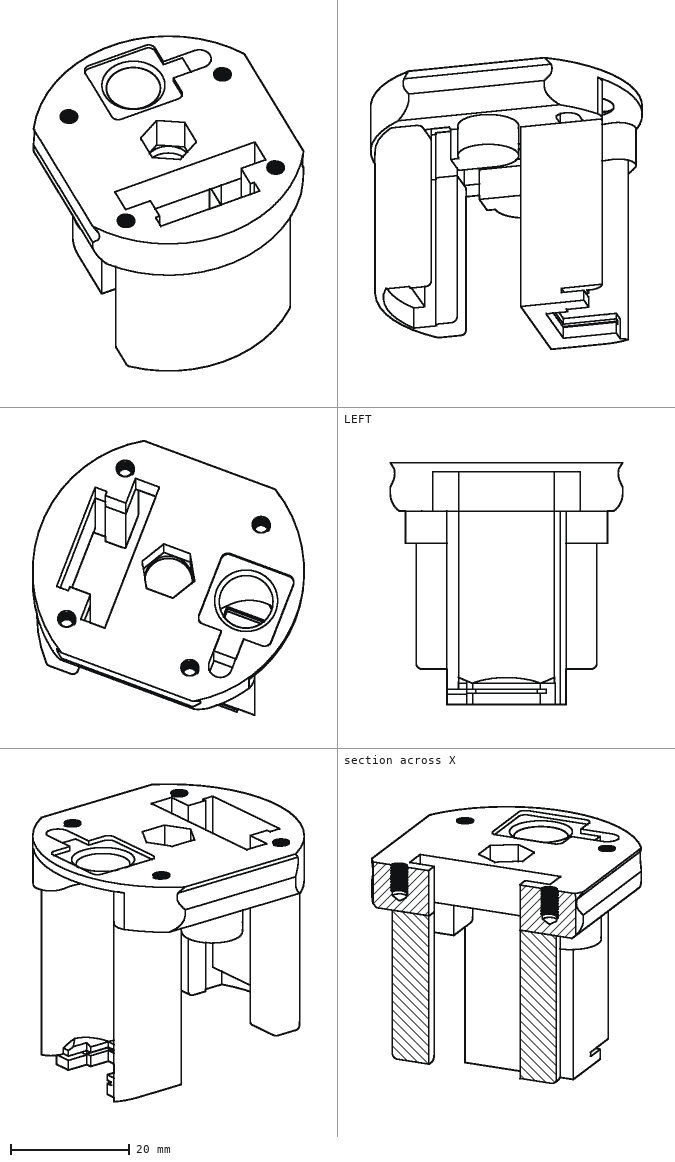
import cadquery as cq
import math

PLATE_R = 23.0
PLATE_T = 8.25
FLAT_Y = 19.7
GRIP_TOP = (19.05, -1.05)
GRIP_DEEP = (18.95, -2.0)
GRIP_LOW = (19.2, -3.1)
BAND_TOP_Z = -4.2
BAND_LOW_Z = -5.25
PLATE_FOOT_Y = 18.12
LOWER_EDGE_R = 3.65

HEX_FLATS = 8.25
HEX_DEPTH = 6.45
NUT_HOLE_D = 8.1

LIP_T = 1.55
BAY_X = -14.4
BAY_R = 8.33
EAR_R = 3.0
EAR_X = -16.65
EAR_Y = math.sqrt((BAY_R + EAR_R) ** 2 - (BAY_X - EAR_X) ** 2)
MOUTH_Y = 12.45

RECESS_X = -14.08
RECESS_W = 13.05
RECESS_DEPTH = 0.8
RECESS_CORNER_R = 1.25
CONTACT_HOLE_D = 9.1
WIRE_SLOT_W = 4.0
WIRE_SLOT_END_Y = 14.3

SWITCH_X0 = 6.6
SWITCH_X1 = 10.9
SWITCH_X2 = 14.65
SWITCH_X3 = 16.75
SWITCH_WIDE_Y = 13.05
SWITCH_NECK_Y = 8.45
SWITCH_BACK_Y = 9.2

SCREW_POINTS = [(-9.4, 14.55), (13.1, 14.0), (13.1, -13.95), (-11.85, -12.95)]
THREAD_MINOR_D = 2.55
THREAD_MAJOR_D = 3.1
THREAD_PITCH = 0.5
THREAD_MOUTH = 0.25
THREAD_ROOT = 0.05
THREAD_OVERLAP = 0.05
SCREW_DEPTH = 5.5
DRILL_TIP_ANGLE = 118

BOSS_R = 5.15
BOSS_Y = 11.95
BOSS_T = 5.45

HOUSING_X = SWITCH_X1
HOUSING_R = 22.25
HOUSING_Y = 15.3
HOUSING_LOW_Z = -34.95
HOUSING_EDGE_R = 1.0
HOUSING_WALL = 1.43
RELIEF_TOP_Z = -31.3

COLUMN_X = -5.15
COLUMN_Y = 10.07
COLUMN_ROUND_X = -14.65
COLUMN_LOW_Z = -41.0

FLOOR_Z = -37.4
FLOOR_SLOPE = 0.42
FLOOR_RISE = 1.15
FLOOR_NEAR_X = -17.7
FLOOR_FAR_X = -16.25
OPENING_BACK_X = -8.45
OPENING_Y = 5.7
NOTCH_X = -12.3
NOTCH_Y = 6.75
GROOVE_TOP_Z = -38.4
GROOVE_LOW_Z = -39.0
GROOVE_STEP_X = -7.9
GROOVE_BACK_X = -7.35
GROOVE_BACK_Y = 5.2
CHANNEL_LOW_Z = -39.2

REACH = 27.6
PLATE_LOW_Z = -PLATE_T


def block(x0, x1, y0, y1, z0, z1):
    """Box between two opposite corners."""
    return cq.Workplane("XY").box(x1 - x0, y1 - y0, z1 - z0, centered=False).translate((x0, y0, z0))


def bay(top_z, low_z):
    """Cell bay: a round channel that opens through rounded cheeks at its mouth."""
    rim_x = EAR_X - math.sqrt(EAR_R**2 - (MOUTH_Y - EAR_Y) ** 2)
    mid_x = EAR_X - EAR_R * math.sqrt(0.5)
    mid_y = EAR_Y - EAR_R * math.sqrt(0.5)
    touch_x = BAY_X + (EAR_X - BAY_X) * BAY_R / (BAY_R + EAR_R)
    touch_y = EAR_Y * BAY_R / (BAY_R + EAR_R)
    return (
        cq.Workplane("XY", origin=(0, 0, low_z))
        .moveTo(-REACH, -MOUTH_Y)
        .lineTo(rim_x, -MOUTH_Y)
        .threePointArc((mid_x, -mid_y), (touch_x, -touch_y))
        .threePointArc((BAY_X + BAY_R, 0), (touch_x, touch_y))
        .threePointArc((mid_x, mid_y), (rim_x, MOUTH_Y))
        .lineTo(-REACH, MOUTH_Y)
        .close()
        .extrude(top_z - low_z)
    )


def switch_opening(top_z, low_z):
    """Stepped opening that passes through plate and housing."""
    half = [
        (SWITCH_X0, SWITCH_WIDE_Y),
        (SWITCH_X1, SWITCH_WIDE_Y),
        (SWITCH_X1, SWITCH_NECK_Y),
        (SWITCH_X2, SWITCH_NECK_Y),
        (SWITCH_X2, SWITCH_BACK_Y),
        (SWITCH_X3, SWITCH_BACK_Y),
    ]
    mirrored = [(x, -y) for x, y in reversed(half)]
    return cq.Workplane("XY", origin=(0, 0, low_z)).polyline(half + mirrored).close().extrude(top_z - low_z)


def plate_blank():
    """Disc trimmed by the profile of its two flats."""
    chord_y = (FLAT_Y - PLATE_FOOT_Y) / 2
    chord_z = (BAND_LOW_Z - PLATE_LOW_Z) / 2
    half_chord = math.hypot(chord_y, chord_z)
    bulge = LOWER_EDGE_R - math.sqrt(LOWER_EDGE_R**2 - half_chord**2)
    edge_y = PLATE_FOOT_Y + chord_y + bulge * chord_z / half_chord
    edge_z = PLATE_LOW_Z + chord_z - bulge * chord_y / half_chord
    profile = (
        cq.Workplane("YZ", origin=(-REACH, 0, 0))
        .moveTo(0, 0)
        .lineTo(FLAT_Y, 0)
        .lineTo(*GRIP_TOP)
        .threePointArc(GRIP_DEEP, GRIP_LOW)
        .lineTo(FLAT_Y, BAND_TOP_Z)
        .lineTo(FLAT_Y, BAND_LOW_Z)
        .threePointArc((edge_y, edge_z), (PLATE_FOOT_Y, PLATE_LOW_Z))
        .lineTo(0, PLATE_LOW_Z)
        .close()
        .extrude(2 * REACH)
    )
    disc = cq.Workplane("XY").circle(PLATE_R).extrude(-PLATE_T)
    return disc.intersect(profile.union(profile.mirror("XZ")))


def contact_recess():
    """Shallow square pocket, conical hole into the bay, and slot for the wire."""
    pocket = (
        cq.Workplane("XY")
        .center(RECESS_X, 0)
        .rect(RECESS_W, RECESS_W)
        .extrude(-RECESS_DEPTH)
        .edges("|Z")
        .fillet(RECESS_CORNER_R)
    )
    half_w = WIRE_SLOT_W / 2
    arc_y = WIRE_SLOT_END_Y - half_w
    wire_track = block(RECESS_X - half_w, RECESS_X + half_w, 0, COLUMN_Y, -RECESS_DEPTH, 0)
    wire_hole = (
        cq.Workplane("XY")
        .moveTo(RECESS_X - half_w, COLUMN_Y)
        .lineTo(RECESS_X - half_w, arc_y)
        .threePointArc((RECESS_X, WIRE_SLOT_END_Y), (RECESS_X + half_w, arc_y))
        .lineTo(RECESS_X + half_w, COLUMN_Y)
        .close()
        .extrude(-PLATE_T)
    )
    sink = LIP_T - RECESS_DEPTH
    sink_r = CONTACT_HOLE_D / 2 + sink
    sink_top = cq.Vector(RECESS_X, 0, -RECESS_DEPTH)
    countersink = cq.Solid.makeCone(sink_r, CONTACT_HOLE_D / 2, sink, sink_top, cq.Vector(0, 0, -1))
    return pocket.union(wire_track).union(wire_hole).union(cq.Workplane(countersink))


def threaded_hole():
    """Blind hole with a drilled tip and a helical thread groove, open at the top."""
    minor_r = THREAD_MINOR_D / 2
    major_r = THREAD_MAJOR_D / 2
    mouth_r = minor_r - THREAD_OVERLAP
    tip_h = minor_r / math.tan(math.radians(DRILL_TIP_ANGLE / 2))
    core = (
        cq.Workplane("XZ")
        .polyline([(0, 0), (minor_r, 0), (minor_r, -SCREW_DEPTH), (0, -SCREW_DEPTH - tip_h)])
        .close()
        .revolve(360, (0, 0, 0), (0, 1, 0))
    )
    path = cq.Wire.makeHelix(THREAD_PITCH, SCREW_DEPTH, minor_r)
    section = [
        (mouth_r, -THREAD_MOUTH),
        (major_r, -THREAD_ROOT),
        (major_r, THREAD_ROOT),
        (mouth_r, THREAD_MOUTH),
    ]
    groove = (
        cq.Workplane("XZ")
        .polyline(section)
        .close()
        .sweep(cq.Workplane(path), isFrenet=True)
        .translate((0, 0, THREAD_PITCH - SCREW_DEPTH))
    )
    below_top = cq.Workplane("XY").circle(2 * major_r).extrude(-SCREW_DEPTH)
    return core.union(groove.intersect(below_top))


def make_plate():
    plate = plate_blank()
    plate = plate.cut(bay(-LIP_T, PLATE_LOW_Z)).cut(contact_recess())
    plate = plate.cut(switch_opening(0, PLATE_LOW_Z))
    hexagon = cq.Workplane("XY").polygon(6, HEX_FLATS / math.cos(math.pi / 6)).extrude(-HEX_DEPTH)
    nut_hole = cq.Workplane("XY").circle(NUT_HOLE_D / 2).extrude(-PLATE_T)
    plate = plate.cut(hexagon).cut(nut_hole)
    screw_hole = threaded_hole()
    for x, y in SCREW_POINTS:
        plate = plate.cut(screw_hole.translate((x, y, 0)))
    return plate


def make_boss(side):
    """Round boss on one side (+1 or -1 along Y), with a web that reaches the switch opening."""
    low_z = PLATE_LOW_Z - BOSS_T
    boss = cq.Workplane("XY", origin=(0, 0, low_z)).center(0, BOSS_Y).circle(BOSS_R).extrude(BOSS_T)
    web = block(0, SWITCH_X0, BOSS_Y - BOSS_R, BOSS_Y, low_z, PLATE_LOW_Z)
    boss = boss.union(web)
    if side < 0:
        boss = boss.mirror("XZ")
    return boss


def make_switch_housing():
    height = PLATE_LOW_Z - HOUSING_LOW_Z
    disc = cq.Workplane("XY", origin=(0, 0, HOUSING_LOW_Z)).circle(HOUSING_R).extrude(height)
    outside = block(HOUSING_X, REACH, -HOUSING_Y, HOUSING_Y, HOUSING_LOW_Z, PLATE_LOW_Z)
    housing = disc.intersect(outside).edges("|Z").fillet(HOUSING_EDGE_R)
    housing = housing.faces("<Z").edges().fillet(HOUSING_EDGE_R)
    relief = (
        cq.Workplane("XY", origin=(0, 0, HOUSING_LOW_Z))
        .circle(HOUSING_R - HOUSING_WALL)
        .extrude(RELIEF_TOP_Z - HOUSING_LOW_Z)
        .intersect(block(SWITCH_X2, REACH, -SWITCH_BACK_Y, SWITCH_BACK_Y, HOUSING_LOW_Z, RELIEF_TOP_Z))
    )
    return housing.cut(switch_opening(PLATE_LOW_Z, HOUSING_LOW_Z)).cut(relief)


def floor_front_slope(front_x, y0, y1):
    """Wedge above the floor face that falls toward the bay mouth."""
    rise = 2 * FLOOR_RISE
    run = rise / FLOOR_SLOPE
    top_z = FLOOR_Z + rise
    return (
        cq.Workplane("XZ", origin=(0, y1, 0))
        .polyline([(front_x, FLOOR_Z), (front_x + run, top_z), (front_x, top_z)])
        .close()
        .extrude(y1 - y0)
    )


def bay_floor():
    """Floor of the bay with a funnel and an opening."""
    top_z = FLOOR_Z + FLOOR_RISE
    limits = block(FLOOR_NEAR_X, 0, -REACH, REACH, COLUMN_LOW_Z, top_z)
    floor = bay(top_z, COLUMN_LOW_Z).intersect(limits)
    floor = floor.cut(block(-REACH, FLOOR_FAR_X, 0, REACH, COLUMN_LOW_Z, top_z))
    funnel = (
        cq.Workplane("XY", origin=(0, 0, FLOOR_Z))
        .center((OPENING_BACK_X - REACH) / 2, 0)
        .rect(OPENING_BACK_X + REACH, 2 * OPENING_Y)
        .extrude(FLOOR_RISE, taper=-math.degrees(math.atan(1 / FLOOR_SLOPE)))
    )
    opening = block(-REACH, OPENING_BACK_X, -OPENING_Y, OPENING_Y, COLUMN_LOW_Z, top_z)
    notch = block(-REACH, NOTCH_X, 0, NOTCH_Y, COLUMN_LOW_Z, top_z)
    floor = floor.cut(funnel).cut(opening).cut(notch)
    floor = floor.cut(floor_front_slope(FLOOR_NEAR_X, -REACH, 0))
    return floor.cut(floor_front_slope(FLOOR_FAR_X, 0, REACH))


def contact_groove():
    """Groove for a contact plate in the floor, with a channel out through the +Y wall."""
    front = block(-REACH, GROOVE_STEP_X, -NOTCH_Y, NOTCH_Y, GROOVE_LOW_Z, GROOVE_TOP_Z)
    back = block(-REACH, GROOVE_BACK_X, -GROOVE_BACK_Y, GROOVE_BACK_Y, GROOVE_LOW_Z, GROOVE_TOP_Z)
    channel = block(-REACH, NOTCH_X, 0, REACH, CHANNEL_LOW_Z, GROOVE_TOP_Z)
    return front.union(back).union(channel)


def make_column():
    column = (
        cq.Workplane("XY", origin=(0, 0, COLUMN_LOW_Z))
        .moveTo(COLUMN_X, -COLUMN_Y)
        .lineTo(COLUMN_ROUND_X, -COLUMN_Y)
        .radiusArc((COLUMN_ROUND_X - COLUMN_Y, 0), COLUMN_Y)
        .lineTo(COLUMN_ROUND_X - COLUMN_Y, COLUMN_Y)
        .lineTo(COLUMN_X, COLUMN_Y)
        .close()
        .extrude(PLATE_LOW_Z - COLUMN_LOW_Z)
    )
    column = column.cut(bay(PLATE_LOW_Z, COLUMN_LOW_Z)).union(bay_floor())
    far_foot = block(-REACH, FLOOR_FAR_X, NOTCH_Y, REACH, COLUMN_LOW_Z, GROOVE_TOP_Z)
    return column.cut(far_foot).cut(contact_groove())


plate = make_plate()
bosses = [make_boss(side) for side in (1, -1)]
switch_housing = make_switch_housing()
column = make_column()

result = cq.Compound.makeCompound([
    plate.solids().val(),
    *[boss.solids().val() for boss in bosses],
    switch_housing.solids().val(),
    column.solids().val(),
])